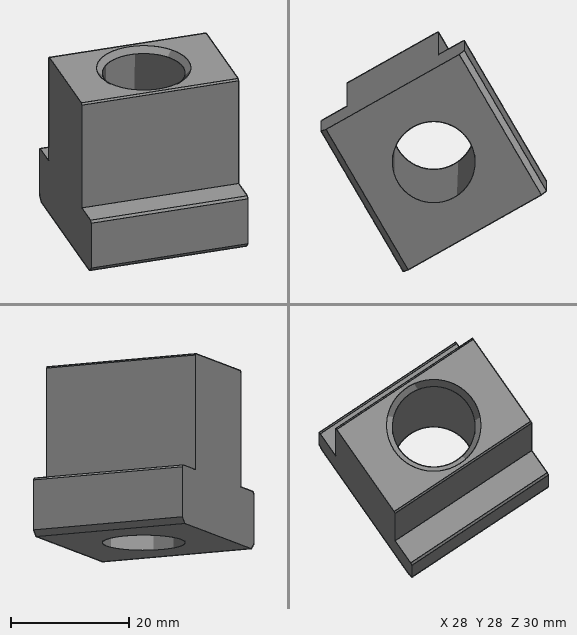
import cadquery as cq

base_width = 28.0
length = 28.0
height = 30.0
base_height = 10.0
neck_width = 17.88

neck_chamfer = 0.3
shoulder_chamfer = 0.4
bottom_chamfer = 1.0

hole_diameter = 14.0
countersink_diameter = 16.0


def t_profile():
    """Closed T section, symmetric about the vertical centre line."""
    half_base = base_width / 2
    half_neck = neck_width / 2
    right_side = [
        (half_base - bottom_chamfer, 0),
        (half_base, bottom_chamfer),
        (half_base, base_height - shoulder_chamfer),
        (half_base - shoulder_chamfer, base_height),
        (half_neck, base_height),
        (half_neck, height - neck_chamfer),
        (half_neck - neck_chamfer, height),
    ]
    left_side = [(-x, z) for x, z in reversed(right_side)]
    return cq.Workplane("XZ").polyline(right_side + left_side).close()


body = t_profile().extrude(length / 2, both=True)

result = (
    body.faces(">Z")
    .workplane(origin=(0, 0, height))
    .cskHole(hole_diameter, countersink_diameter, 90)
)